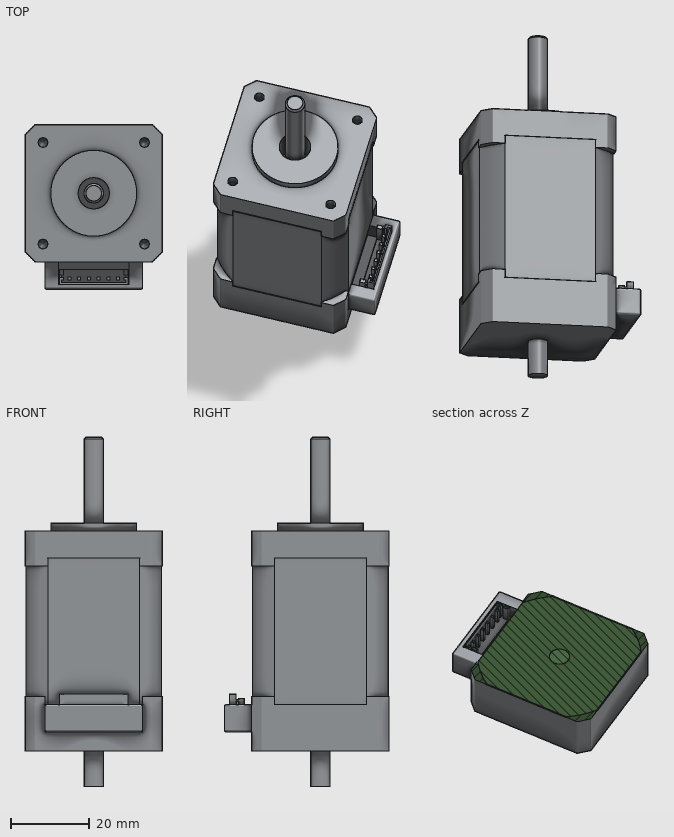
import cadquery as cq
import math

FRAME_WIDTH = 35.2
HALF_FRAME = FRAME_WIDTH / 2
FRAME_LENGTH = 56.4
FRAME_BOTTOM = -FRAME_LENGTH
CORNER_CHAMFER = 2.6
CORNER_EDGE_RADIUS = 0.4

STATOR_WIDTH = 34.8
STATOR_CORNER_DIAMETER = 42.0
HALF_STATOR_FLAT = math.sqrt(STATOR_CORNER_DIAMETER**2 - STATOR_WIDTH**2) / 2

FRONT_CAP_LENGTH = 9.0
REAR_CAP_LENGTH = 14.0
TONGUE_LENGTH = 2.1
STATOR_TOP = -(FRONT_CAP_LENGTH - TONGUE_LENGTH)
STATOR_BOTTOM = FRAME_BOTTOM + REAR_CAP_LENGTH - TONGUE_LENGTH

PILOT_DIAMETER = 22.0
PILOT_HEIGHT = 2.0
SHAFT_CLEARANCE_DIAMETER = 8.0
SCREW_HOLE_DIAMETER = 2.46
SCREW_HOLE_PITCH = 26.0
SCREW_HOLE_DEPTH = 4.5
DRILL_TIP_ANGLE = 118.0

SHAFT_DIAMETER = 5.0
SHAFT_TOP = 24.0
SHAFT_LENGTH = 89.5
SHAFT_CHAMFER = 0.5

SHELL_WIDTH = 25.0
SHELL_OVERHANG = 7.0
RECESS_DEPTH = 0.8
SHELL_HEIGHT = 7.0
SHELL_EDGE_RADIUS = 0.5
SHELL_TOP = STATOR_BOTTOM
SHELL_BOTTOM = SHELL_TOP - SHELL_HEIGHT
SHELL_BACK = -HALF_FRAME + RECESS_DEPTH
SLOT_WIDTH = 18.0
SLOT_DEPTH = 5.0

HEADER_WIDTH = 17.6
HEADER_BACK_GAP = 1.9
HEADER_DEPTH = 3.8
HEADER_FLOOR = 1.0
HEADER_TOP = SHELL_TOP + 2.7
FRONT_WALL = 0.4
END_WALL = 0.5
END_WALL_DEPTH = 1.7
GUIDE_RIB = 0.6
BACK_TAB_WIDTH = 1.0
BACK_TAB_DEPTH = 1.45
BACK_TAB_TOP = SHELL_TOP + 1.6
BRIDGE_TOP = SHELL_TOP + 1.3
BRIDGE_HEIGHT = 0.5
PIN_COUNT = 6
PIN_PITCH = 2.5
PIN_SIZE = 0.8
PIN_SETBACK = 0.2
PIN_TOP = SHELL_TOP + 1.3

HEADER_BACK = -HALF_FRAME - HEADER_BACK_GAP
HEADER_FRONT = HEADER_BACK - HEADER_DEPTH
SLOT_FLOOR = SHELL_TOP - SLOT_DEPTH
END_WALL_BACK = HEADER_FRONT + END_WALL_DEPTH
PIN_BACK = END_WALL_BACK + PIN_SETBACK


def box_between(x_range, y_range, z_range):
    size = [high - low for low, high in (x_range, y_range, z_range)]
    corner = (x_range[0], y_range[0], z_range[0])
    return cq.Workplane("XY").box(*size, centered=False).translate(corner)


def square_prism(width, bottom, top):
    return cq.Workplane("XY").workplane(offset=bottom).rect(width, width).extrude(top - bottom)


def cylinder(diameter, bottom, top):
    return cq.Workplane("XY").workplane(offset=bottom).circle(diameter / 2).extrude(top - bottom)


def stator_envelope(bottom, top):
    return square_prism(STATOR_WIDTH, bottom, top).intersect(cylinder(STATOR_CORNER_DIAMETER, bottom, top))


def make_stator():
    return stator_envelope(STATOR_BOTTOM, STATOR_TOP).cut(cylinder(SHAFT_DIAMETER, STATOR_BOTTOM, STATOR_TOP))


def cap_blank(bottom, top):
    block = square_prism(FRAME_WIDTH, bottom, top)
    return block.edges("|Z").chamfer(CORNER_CHAMFER).edges("|Z").fillet(CORNER_EDGE_RADIUS)


def tongue_gaps(bottom, top):
    """The space that parts the four corner tongues and receives the stator."""
    along_x = cq.Workplane("XY").workplane(offset=bottom)
    along_x = along_x.rect(FRAME_WIDTH, 2 * HALF_STATOR_FLAT).extrude(top - bottom)
    along_y = along_x.rotate((0, 0, 0), (0, 0, 1), 90)
    return along_x.union(along_y).union(stator_envelope(bottom, top))


def screw_hole(x, y):
    radius = SCREW_HOLE_DIAMETER / 2
    tip_length = radius / math.tan(math.radians(DRILL_TIP_ANGLE / 2))
    profile = [(0, 0), (radius, 0), (radius, -SCREW_HOLE_DEPTH), (0, -SCREW_HOLE_DEPTH - tip_length)]
    hole = cq.Workplane("XZ").polyline(profile).close().revolve(360, (0, 0), (0, 1))
    return hole.translate((x, y, 0))


def make_front_cap():
    cap = cap_blank(-FRONT_CAP_LENGTH, 0).cut(tongue_gaps(-FRONT_CAP_LENGTH, STATOR_TOP))
    cap = cap.union(cylinder(PILOT_DIAMETER, 0, PILOT_HEIGHT))
    cap = cap.cut(cylinder(SHAFT_CLEARANCE_DIAMETER, STATOR_TOP, PILOT_HEIGHT))
    for x in (-SCREW_HOLE_PITCH / 2, SCREW_HOLE_PITCH / 2):
        for y in (-SCREW_HOLE_PITCH / 2, SCREW_HOLE_PITCH / 2):
            cap = cap.cut(screw_hole(x, y))
    return cap


def make_rear_cap():
    top = FRAME_BOTTOM + REAR_CAP_LENGTH
    cap = cap_blank(FRAME_BOTTOM, top).cut(tongue_gaps(STATOR_BOTTOM, top))
    recess = box_between((-SHELL_WIDTH / 2, SHELL_WIDTH / 2), (-HALF_FRAME, SHELL_BACK), (SHELL_BOTTOM, top))
    cap = cap.cut(recess)
    return cap.cut(cylinder(SHAFT_DIAMETER, FRAME_BOTTOM, STATOR_BOTTOM))


def make_shaft():
    shaft = cylinder(SHAFT_DIAMETER, SHAFT_TOP - SHAFT_LENGTH, SHAFT_TOP)
    return shaft.faces(">Z").chamfer(SHAFT_CHAMFER)


def make_connector_shell():
    shell = box_between(
        (-SHELL_WIDTH / 2, SHELL_WIDTH / 2),
        (-HALF_FRAME - SHELL_OVERHANG, -HALF_FRAME),
        (SHELL_BOTTOM, SHELL_TOP),
    )
    shell = shell.edges("not >Y").fillet(SHELL_EDGE_RADIUS)
    root = box_between(
        (-SHELL_WIDTH / 2, SHELL_WIDTH / 2),
        (-HALF_FRAME, SHELL_BACK),
        (SHELL_BOTTOM, SHELL_TOP),
    )
    shell = shell.union(root)
    slot = box_between(
        (-SLOT_WIDTH / 2, SLOT_WIDTH / 2),
        (HEADER_FRONT, SHELL_BACK),
        (SLOT_FLOOR, SHELL_TOP),
    )
    return shell.cut(slot)


def make_header():
    half_width = HEADER_WIDTH / 2
    full_depth = (HEADER_FRONT, HEADER_BACK)
    floor_top = SLOT_FLOOR + HEADER_FLOOR
    header = box_between((-half_width, half_width), full_depth, (SLOT_FLOOR, floor_top))
    front_wall = box_between(
        (-half_width, half_width), (HEADER_FRONT, HEADER_FRONT + FRONT_WALL), (SLOT_FLOOR, HEADER_TOP)
    )
    header = header.union(front_wall)

    end_wall = box_between(
        (-half_width, -half_width + END_WALL), (HEADER_FRONT, END_WALL_BACK), (SLOT_FLOOR, HEADER_TOP)
    )
    guide_rib = box_between(
        (-half_width, -half_width + END_WALL + GUIDE_RIB),
        (END_WALL_BACK - GUIDE_RIB, END_WALL_BACK),
        (SLOT_FLOOR, HEADER_TOP),
    )
    back_tab = box_between(
        (-half_width, -half_width + BACK_TAB_WIDTH),
        (HEADER_BACK - BACK_TAB_DEPTH, HEADER_BACK),
        (SLOT_FLOOR, BACK_TAB_TOP),
    )
    bridge = box_between(
        (-half_width, -half_width + END_WALL),
        (END_WALL_BACK, HEADER_BACK - BACK_TAB_DEPTH),
        (BRIDGE_TOP - BRIDGE_HEIGHT, BRIDGE_TOP),
    )
    left_end = end_wall.union(guide_rib).union(back_tab).union(bridge)
    header = header.union(left_end).union(left_end.mirror("YZ"))

    for index in range(PIN_COUNT):
        x = (index - (PIN_COUNT - 1) / 2) * PIN_PITCH
        pin = box_between(
            (x - PIN_SIZE / 2, x + PIN_SIZE / 2), (PIN_BACK - PIN_SIZE, PIN_BACK), (SLOT_FLOOR, PIN_TOP)
        )
        header = header.union(pin)
    return header


front_cap = make_front_cap()
stator = make_stator()
rear_cap = make_rear_cap()
shaft = make_shaft()
connector_shell = make_connector_shell()
header = make_header()

result = cq.Compound.makeCompound(
    [front_cap.val(), stator.val(), rear_cap.val(), shaft.val(), connector_shell.val(), header.val()]
)